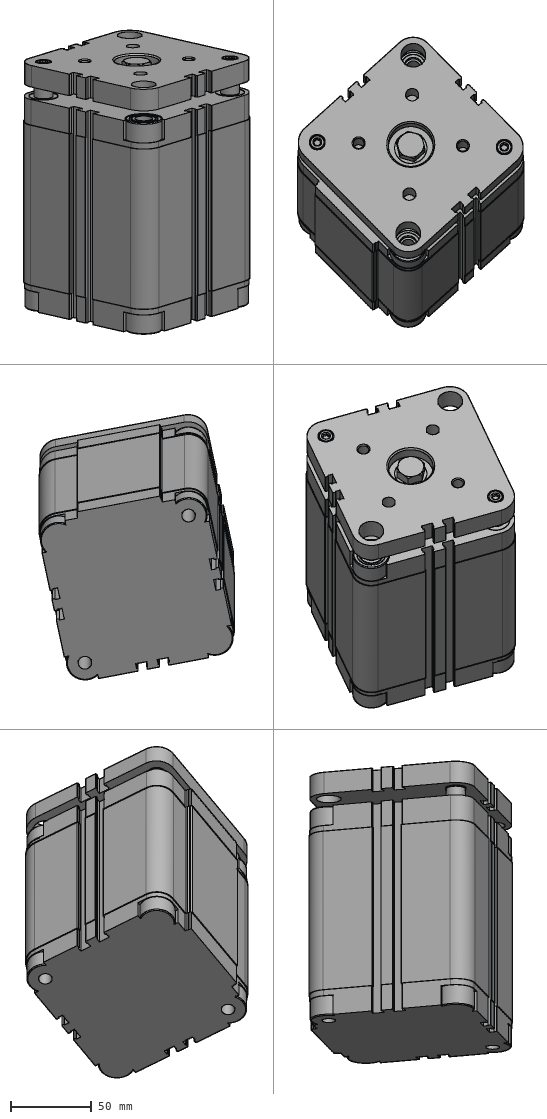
import cadquery as cq
import math

TOTAL_HEIGHT = 158.0
OVERLAP = 1.6

BARREL_SIDE = 107.0
CAP_SIDE = 106.0
CAP_HEIGHT = 16.5
HOUSING_HEIGHT = 136.0
HOLE_OFFSET = 41.1
BARREL_CORNER_RADIUS = BARREL_SIDE / 2 - HOLE_OFFSET
CAP_CORNER_RADIUS = CAP_SIDE / 2 - HOLE_OFFSET

PAD_WIDTH = 53.7
PAD_RISE = 4.1
PAD_STEP_WIDTH = 0.5
PAD_STEP_HEIGHT = 1.0

FOOT_DIAMETER = 23.0
FOOT_HEIGHT = 12.6
FOOT_NOTCH_OFFSET = 34.9
FOOT_CHAMFER = 0.6
SCREW_SEAT_DIAMETER = 18.0
SCREW_COLLAR_DIAMETER = 15.0
SCREW_SEAT_DEPTH = 0.6
SCREW_HOLE_DIAMETER = 8.4
SOCKET_BORE_DIAMETER = 11.0
SOCKET_BORE_DEPTH = 3.2

SLOT_FLOOR = 48.0
SLOT_LIP = 51.0
SLOT_INNER = 3.3
SLOT_OUTER = 10.5
MOUTH_INNER = 4.0
CAP_MOUTH_OUTER = 9.6
BARREL_MOUTH_OUTER = 9.2
CAP_MOUTH_CHAMFER = 0.3
BARREL_MOUTH_CHAMFER = 0.5
RIB_CHAMFER = 0.3

PLATE_SIDE = CAP_SIDE
PLATE_THICKNESS = 13.9
PLATE_BOTTOM = TOTAL_HEIGHT - PLATE_THICKNESS
PLATE_CORNER_RADIUS = 12.3
ACCESS_HOLE_DIAMETER = 15.3
FIXING_HOLE_OFFSET = 22.9
FIXING_HOLE_DIAMETER = 8.0
THREAD_HOLE_DIAMETER = 6.6

ROD_DIAMETER = 20.0
ROD_FLATS = 17.0
ROD_FLATS_START = HOUSING_HEIGHT + 1.1
NUT_RECESS_DIAMETER = 28.0
NUT_RECESS_DEPTH = 7.6
NUT_RECESS_CHAMFER = 1.0
NUT_FLATS = 16.0
NUT_TOP_GAP = 0.6
NUT_TOP_DIAMETER = 16.3
WASHER_DIAMETER = 20.0
WASHER_THICKNESS = 0.3

GUIDE_DIAMETER = 12.0
GUIDE_COLLAR_DIAMETER = 13.0
GUIDE_COLLAR_HEIGHT = 0.6
GUIDE_SEAT_DIAMETER = 18.0
GUIDE_SEAT_DEPTH = 0.3
END_SCREW_SEAT_DIAMETER = 9.8
END_SCREW_DIAMETER = 8.4
END_SCREW_GAP_DEPTH = 1.0
SOCKET_FLATS = 4.0
SOCKET_DEPTH = 2.4
SOCKET_RIM_DIAMETER = 5.5

GUIDE_CORNERS = [(HOLE_OFFSET, HOLE_OFFSET), (-HOLE_OFFSET, -HOLE_OFFSET)]
SCREW_CORNERS = [(HOLE_OFFSET, -HOLE_OFFSET), (-HOLE_OFFSET, HOLE_OFFSET)]
PIN_HOLES = [(FIXING_HOLE_OFFSET, -FIXING_HOLE_OFFSET), (-FIXING_HOLE_OFFSET, FIXING_HOLE_OFFSET)]
THREAD_HOLES = [(FIXING_HOLE_OFFSET, FIXING_HOLE_OFFSET), (-FIXING_HOLE_OFFSET, -FIXING_HOLE_OFFSET)]


def cylinder(center, diameter, bottom, top):
    """Upright cylinder between two heights."""
    return cq.Workplane("XY", origin=(*center, bottom)).circle(diameter / 2).extrude(top - bottom)


def cone(center, bottom_diameter, top_diameter, bottom, top):
    """Upright truncated cone between two heights."""
    solid = cq.Solid.makeCone(
        bottom_diameter / 2, top_diameter / 2, top - bottom, cq.Vector(*center, bottom)
    )
    return cq.Workplane(solid)


def hexagon(center, flats, bottom, top):
    """Upright hexagonal prism with two corners along Y."""
    corners = flats / math.cos(math.pi / 6)
    prism = cq.Workplane("XY").polygon(6, corners).extrude(top - bottom)
    return prism.rotate((0, 0, 0), (0, 0, 1), 90).translate((*center, bottom))


def rounded_block(side, corner_radius, bottom, top):
    """Square block with rounded upright edges."""
    block = cq.Workplane("XY", origin=(0, 0, bottom)).rect(side, side).extrude(top - bottom)
    return block.edges("|Z").fillet(corner_radius)


def slot_pairs(side, mouth_outer, mouth_chamfer, bottom, top):
    """Cutters for a pair of T-slots in each of the -X, -Y and +X sides."""
    face = side / 2
    beyond = face + OVERLAP
    profile = [
        (SLOT_INNER, SLOT_FLOOR),
        (SLOT_OUTER, SLOT_FLOOR),
        (SLOT_OUTER, SLOT_LIP),
        (mouth_outer, SLOT_LIP),
        (mouth_outer, face - mouth_chamfer),
        (mouth_outer + mouth_chamfer, face),
        (mouth_outer + mouth_chamfer, beyond),
        (MOUTH_INNER - RIB_CHAMFER, beyond),
        (MOUTH_INNER - RIB_CHAMFER, face),
        (MOUTH_INNER, face - RIB_CHAMFER),
        (MOUTH_INNER, SLOT_LIP),
        (SLOT_INNER, SLOT_LIP),
    ]
    slot = cq.Workplane("XY", origin=(0, 0, bottom)).polyline(profile).close().extrude(top - bottom)
    pair = slot.add(slot.mirror("YZ"))
    cutters = cq.Workplane("XY")
    for angle in (90, 180, 270):
        cutters = cutters.add(pair.rotate((0, 0, 0), (0, 0, 1), angle))
    return cutters.combine()


def port_pad(side, bottom, top):
    """Pad on the +Y side with two sloping steps in each of its sides."""
    face = side / 2
    half_width = PAD_WIDTH / 2
    top_face = face + PAD_RISE
    right_side = [
        (half_width, 0),
        (half_width, top_face - 3 * PAD_STEP_HEIGHT),
        (half_width - PAD_STEP_WIDTH, top_face - 2 * PAD_STEP_HEIGHT),
        (half_width - PAD_STEP_WIDTH, top_face - PAD_STEP_HEIGHT),
        (half_width - 2 * PAD_STEP_WIDTH, top_face),
    ]
    left_side = [(-x, y) for x, y in reversed(right_side)]
    profile = right_side + left_side
    return cq.Workplane("XY", origin=(0, 0, bottom)).polyline(profile).close().extrude(top - bottom)


def housing_section(side, corner_radius, mouth_outer, mouth_chamfer, bottom, top):
    """One length of the housing with its port pad and T-slots."""
    section = rounded_block(side, corner_radius, bottom, top).union(port_pad(side, bottom, top))
    return section.cut(slot_pairs(side, mouth_outer, mouth_chamfer, bottom, top))


def corner_notch(center, bottom, top):
    """Square cutter that opens one corner of a cap between two heights."""
    width = CAP_SIDE / 2 + OVERLAP - FOOT_NOTCH_OFFSET
    middle = FOOT_NOTCH_OFFSET + width / 2
    x = math.copysign(middle, center[0])
    y = math.copysign(middle, center[1])
    return cq.Workplane("XY", origin=(x, y, bottom)).rect(width, width).extrude(top - bottom)


def lower_foot_cutter(center):
    """Notch around a round foot with a chamfered bottom edge."""
    foot = cylinder(center, FOOT_DIAMETER, 0, FOOT_HEIGHT).faces("<Z").chamfer(FOOT_CHAMFER)
    return corner_notch(center, 0, FOOT_HEIGHT).cut(foot)


def upper_foot_cutter(center):
    """Notch around a round foot with a chamfered rim, and its screw seat and through hole."""
    foot_bottom = HOUSING_HEIGHT - FOOT_HEIGHT
    foot = cylinder(center, FOOT_DIAMETER, foot_bottom, HOUSING_HEIGHT).faces(">Z").chamfer(FOOT_CHAMFER)
    rim = cylinder(center, FOOT_DIAMETER, HOUSING_HEIGHT - FOOT_CHAMFER, HOUSING_HEIGHT)
    notch = corner_notch(center, foot_bottom, HOUSING_HEIGHT).union(rim).cut(foot)

    seat_floor = HOUSING_HEIGHT - SCREW_SEAT_DEPTH
    seat = cylinder(center, SCREW_SEAT_DIAMETER, seat_floor, HOUSING_HEIGHT)
    seat = seat.cut(cylinder(center, SCREW_COLLAR_DIAMETER, seat_floor, HOUSING_HEIGHT))
    socket = cylinder(center, SOCKET_BORE_DIAMETER, HOUSING_HEIGHT - SOCKET_BORE_DEPTH, HOUSING_HEIGHT)
    hole = cylinder(center, SCREW_HOLE_DIAMETER, 0, HOUSING_HEIGHT)
    return notch.union(seat).union(socket).union(hole)


def make_housing():
    barrel_top = HOUSING_HEIGHT - CAP_HEIGHT
    cap = (CAP_SIDE, CAP_CORNER_RADIUS, CAP_MOUTH_OUTER, CAP_MOUTH_CHAMFER)
    barrel = (BARREL_SIDE, BARREL_CORNER_RADIUS, BARREL_MOUTH_OUTER, BARREL_MOUTH_CHAMFER)
    body = housing_section(*barrel, CAP_HEIGHT, barrel_top)
    body = body.union(housing_section(*cap, 0, CAP_HEIGHT))
    body = body.union(housing_section(*cap, barrel_top, HOUSING_HEIGHT))

    for center in GUIDE_CORNERS + SCREW_CORNERS:
        body = body.cut(lower_foot_cutter(center))
    for center in SCREW_CORNERS:
        body = body.cut(upper_foot_cutter(center))

    body = body.cut(cylinder((0, 0), ROD_DIAMETER, barrel_top, HOUSING_HEIGHT))
    for center in GUIDE_CORNERS:
        body = body.cut(cylinder(center, GUIDE_DIAMETER, barrel_top, HOUSING_HEIGHT))
        seat_floor = HOUSING_HEIGHT - GUIDE_SEAT_DEPTH
        body = body.cut(cylinder(center, GUIDE_SEAT_DIAMETER, seat_floor, HOUSING_HEIGHT))
    return body


def make_plate():
    plate = rounded_block(PLATE_SIDE, PLATE_CORNER_RADIUS, PLATE_BOTTOM, TOTAL_HEIGHT)
    plate = plate.cut(
        slot_pairs(PLATE_SIDE, CAP_MOUTH_OUTER, CAP_MOUTH_CHAMFER, PLATE_BOTTOM, TOTAL_HEIGHT)
    )
    for center in SCREW_CORNERS:
        plate = plate.cut(cylinder(center, ACCESS_HOLE_DIAMETER, PLATE_BOTTOM, TOTAL_HEIGHT))
    for center in PIN_HOLES:
        plate = plate.cut(cylinder(center, FIXING_HOLE_DIAMETER, PLATE_BOTTOM, TOTAL_HEIGHT))
    sink_depth = (FIXING_HOLE_DIAMETER - THREAD_HOLE_DIAMETER) / 2
    for center in THREAD_HOLES:
        plate = plate.cut(cylinder(center, THREAD_HOLE_DIAMETER, PLATE_BOTTOM, TOTAL_HEIGHT))
        plate = plate.cut(
            cone(center, THREAD_HOLE_DIAMETER, FIXING_HOLE_DIAMETER, TOTAL_HEIGHT - sink_depth, TOTAL_HEIGHT)
        )
    for center in GUIDE_CORNERS:
        plate = plate.cut(end_screw_recess(center))

    recess_floor = TOTAL_HEIGHT - NUT_RECESS_DEPTH
    rim_diameter = NUT_RECESS_DIAMETER + 2 * NUT_RECESS_CHAMFER
    plate = plate.cut(cylinder((0, 0), NUT_RECESS_DIAMETER, recess_floor, TOTAL_HEIGHT))
    return plate.cut(
        cone((0, 0), NUT_RECESS_DIAMETER, rim_diameter, TOTAL_HEIGHT - NUT_RECESS_CHAMFER, TOTAL_HEIGHT)
    )


def end_screw_recess(center):
    """Ring gap around a guide rod's end screw, and the hexagon socket in the screw."""
    gap_floor = TOTAL_HEIGHT - END_SCREW_GAP_DEPTH
    gap = cylinder(center, END_SCREW_SEAT_DIAMETER, gap_floor, TOTAL_HEIGHT)
    gap = gap.cut(cylinder(center, END_SCREW_DIAMETER, gap_floor, TOTAL_HEIGHT))
    socket = hexagon(center, SOCKET_FLATS, TOTAL_HEIGHT - SOCKET_DEPTH, TOTAL_HEIGHT)
    rim_depth = (SOCKET_RIM_DIAMETER - SOCKET_FLATS) / 2
    rim = cone(center, SOCKET_FLATS, SOCKET_RIM_DIAMETER, TOTAL_HEIGHT - rim_depth, TOTAL_HEIGHT)
    return gap.union(socket).union(rim)


def make_nut():
    """Hexagon nut on a thin washer, its top corners bevelled at 45 degrees."""
    bottom = TOTAL_HEIGHT - NUT_RECESS_DEPTH
    top = TOTAL_HEIGHT - NUT_TOP_GAP
    bevel_height = top - bottom
    bevel = cone((0, 0), NUT_TOP_DIAMETER + 2 * bevel_height, NUT_TOP_DIAMETER, bottom, top)
    nut = hexagon((0, 0), NUT_FLATS, bottom, top).intersect(bevel)
    return nut.union(cylinder((0, 0), WASHER_DIAMETER, bottom, bottom + WASHER_THICKNESS))


def make_moving_unit():
    """Plate, piston rod with nut, and guide rods, as one body."""
    rod_bottom = HOUSING_HEIGHT - CAP_HEIGHT
    unit = make_plate().union(make_nut())

    flats_height = PLATE_BOTTOM - ROD_FLATS_START
    flats = (
        cq.Workplane("XY", origin=(0, 0, ROD_FLATS_START))
        .rect(ROD_DIAMETER, ROD_FLATS)
        .extrude(flats_height)
    )
    unit = unit.union(cylinder((0, 0), ROD_DIAMETER, rod_bottom, ROD_FLATS_START))
    unit = unit.union(cylinder((0, 0), ROD_DIAMETER, ROD_FLATS_START, PLATE_BOTTOM).intersect(flats))

    for center in GUIDE_CORNERS:
        unit = unit.union(cylinder(center, GUIDE_DIAMETER, rod_bottom, PLATE_BOTTOM))
        collar_bottom = PLATE_BOTTOM - GUIDE_COLLAR_HEIGHT
        unit = unit.union(cylinder(center, GUIDE_COLLAR_DIAMETER, collar_bottom, PLATE_BOTTOM))
    return unit


housing = make_housing()
moving_unit = make_moving_unit()
result = cq.Compound.makeCompound([housing.val(), moving_unit.val()])